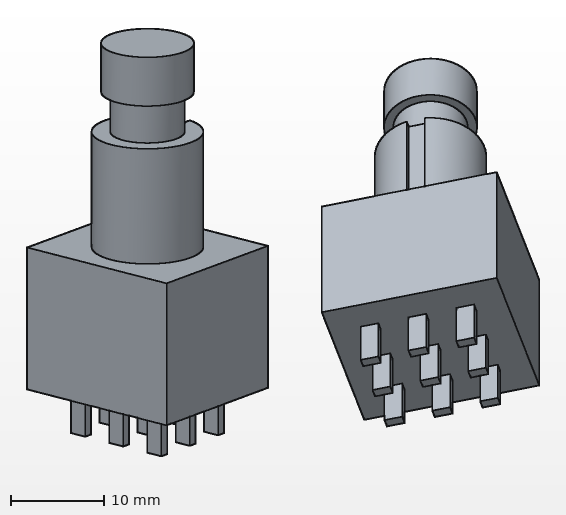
import cadquery as cq

total_height = 44.0
housing_length = 19.5
housing_width = 17.0
housing_height = 16.0

pin_count = 3
pin_length = 5.0
pin_width = 2.0
pin_thickness = 1.0
pin_pitch_x = 5.32
pin_pitch_y = 4.75

bushing_diameter = 12.0
bushing_height = 13.0
keyway_width = 2.0
keyway_floor = 5.1

plunger_diameter = 8.0
plunger_height = 4.5
cap_diameter = 10.0

bushing_base = housing_height
plunger_base = bushing_base + bushing_height
cap_base = plunger_base + plunger_height
cap_top = total_height - pin_length


def cylinder(diameter, base, top):
    """Upright cylinder on the central axis between two levels."""
    return cq.Workplane("XY").workplane(offset=base).circle(diameter / 2).extrude(top - base)


def make_bushing():
    """Round bushing with a full-length rectangular keyway."""
    cutter_depth = bushing_diameter / 2
    keyway = (
        cq.Workplane("XY")
        .workplane(offset=bushing_base)
        .center(0, keyway_floor + cutter_depth / 2)
        .rect(keyway_width, cutter_depth)
        .extrude(bushing_height)
    )
    return cylinder(bushing_diameter, bushing_base, plunger_base).cut(keyway)


def make_pins():
    """Grid of rectangular pins hanging from the housing underside."""
    return (
        cq.Workplane("XY")
        .rarray(pin_pitch_x, pin_pitch_y, pin_count, pin_count)
        .rect(pin_width, pin_thickness)
        .extrude(-pin_length)
    )


housing = cq.Workplane("XY").rect(housing_length, housing_width).extrude(housing_height)
plunger = cylinder(plunger_diameter, plunger_base, cap_base)
cap = cylinder(cap_diameter, cap_base, cap_top)

result = housing.union(make_bushing()).union(plunger).union(cap).union(make_pins())